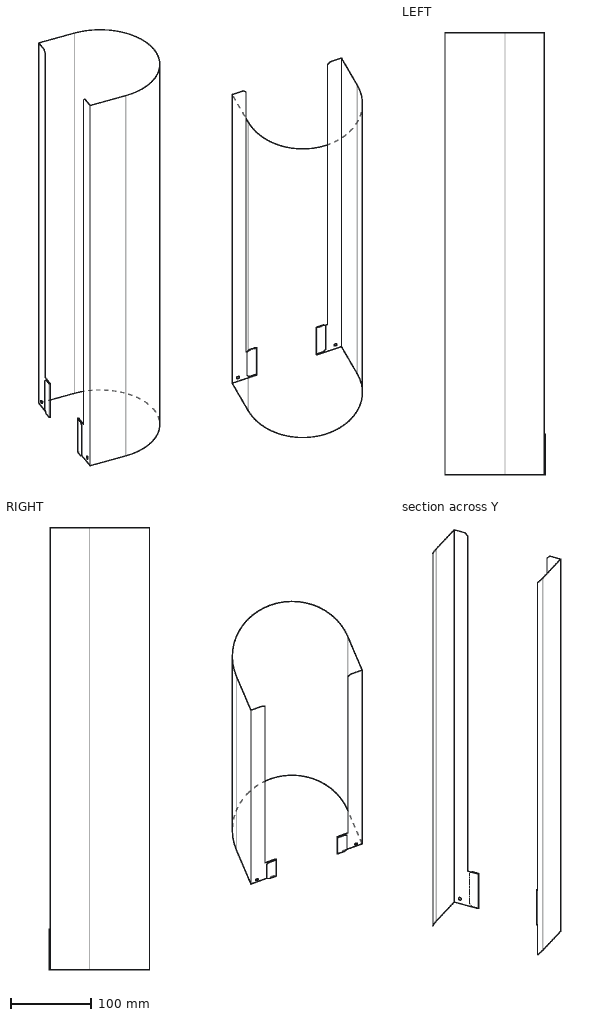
import cadquery as cq

height = 550.0
width = 149.0
depth = 125.5
sheet = 0.5
arch_radius = width / 2

flange_width = 19.0
flange_corner = 4.0

tab_height = 51.0
tab_reach = 34.0
hem_gap = 1.0
hem_edge = 21.0
hem_corner = 3.5
hem_rise = sheet + hem_gap
hem_radius = sheet + hem_gap / 2

hole_diameter = 4.0
hole_inset = 8.0
hole_height = 7.0

flange_front = -(depth - arch_radius - hem_rise)
flange_back = flange_front + sheet


def box_between(x_range, y_range, z_range):
    """Box spanning the given (low, high) ranges."""
    size = [high - low for low, high in (x_range, y_range, z_range)]
    corner = (x_range[0], y_range[0], z_range[0])
    return cq.Workplane("XY").box(*size, centered=False).translate(corner)


def arch_profile(radius, front):
    """Half-round arch with straight legs down to the front plane."""
    return (
        cq.Workplane("XY")
        .moveTo(-radius, front)
        .lineTo(-radius, 0)
        .threePointArc((0, radius), (radius, 0))
        .lineTo(radius, front)
        .close()
        .extrude(height)
    )


def make_shell():
    """Arch and side walls, open at the front and at both ends."""
    outer = arch_profile(arch_radius, flange_front)
    return outer.cut(arch_profile(arch_radius - sheet, flange_front))


def make_flange():
    """Left flange with its upper inner corner chamfered and its fixing hole."""
    left = -arch_radius
    flange = box_between((left, left + flange_width), (flange_front, flange_back), (0, height))
    flange = flange.edges("|Y and >X and >Z").chamfer(flange_corner)
    hole = (
        cq.Workplane("XZ", origin=(0, flange_back, 0))
        .center(left + hole_inset, hole_height)
        .circle(hole_diameter / 2)
        .extrude(sheet)
    )
    return flange.cut(hole)


def make_tab():
    """Left tab: rear leaf, round fold and front leaf with chamfered free corners."""
    root = -arch_radius + flange_width
    bend_x = -arch_radius + tab_reach - hem_radius
    bend_y = flange_back - hem_radius
    hem_front = flange_front - hem_rise

    rear_leaf = box_between((root, bend_x), (flange_front, flange_back), (0, tab_height))
    front_leaf = box_between(
        (-arch_radius + hem_edge, bend_x), (hem_front, hem_front + sheet), (0, tab_height)
    )
    front_leaf = front_leaf.edges("|Y and <X").chamfer(hem_corner)
    ring = (
        cq.Workplane("XY", origin=(bend_x, bend_y, 0))
        .circle(hem_radius)
        .circle(hem_gap / 2)
        .extrude(tab_height)
    )
    inner_half = box_between(
        (bend_x, bend_x + hem_radius), (hem_front, flange_back), (0, tab_height)
    )
    return rear_leaf.union(front_leaf).union(ring.intersect(inner_half))


left_front = make_flange().union(make_tab())
right_front = left_front.mirror("YZ")
result = make_shell().union(left_front).union(right_front)